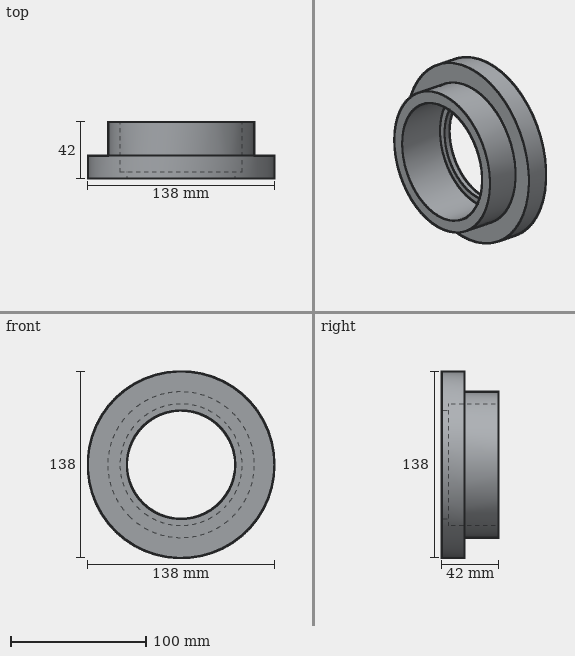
import cadquery as cq

flange_diameter = 138.0
hub_diameter = 108.0
lip_bore_diameter = 79.8
main_bore_diameter = 90.0

total_length = 42.0
flange_thickness = 17.0
lip_thickness = 5.0

front_y = -total_length / 2


def disc(diameter, start_y, length):
    """Cylinder on the Y axis, running from start_y toward +Y."""
    plane = cq.Workplane("XZ", origin=(0, start_y, 0))
    return plane.circle(diameter / 2).extrude(-length)


def make_body():
    flange = disc(flange_diameter, front_y, flange_thickness)
    hub = disc(hub_diameter, front_y, total_length)
    return flange.union(hub)


def cut_bores(body):
    """Narrow bore through the front lip, wider bore behind it."""
    lip_bore = disc(lip_bore_diameter, front_y, total_length)
    main_bore = disc(main_bore_diameter, front_y + lip_thickness, total_length - lip_thickness)
    return body.cut(lip_bore).cut(main_bore)


result = cut_bores(make_body())